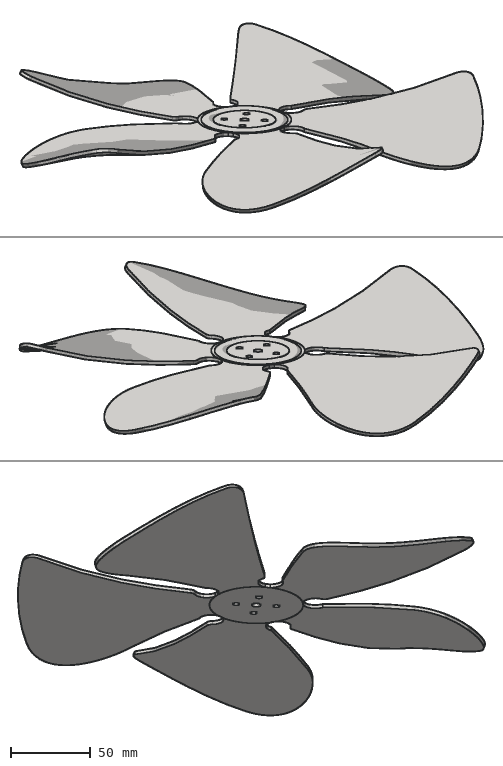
import cadquery as cq
import math


blade_count = 5
fan_radius = 149.6
sheet = 2.4
first_blade_azimuth = -18.0

hub_radius = 29.4
bead_radius = 23.4
bead_half_width = 3.8
bead_height = 1.7
bore_diameter = 5.5
bolt_hole_diameter = 4.0
bolt_spacing = 18.0

relief_radius = 7.8
relief_centre_radius = 37.0
relief_azimuth = 33.5

leading_angle = 11.7
leading_offset = 11.6
trailing_angle = -39.7
trailing_offset = 9.5
leading_tip_fillet = 10.0
trailing_tip_fillet = 40.0
leading_root_fillet = 4.0
root_allowance = 0.5

twist_axis_y = -12.0
twist_start = 21.0
tip_slope = 0.404
twist_points = 8
sheet_y_min = -80.0
sheet_y_max = 50.0

blade_pitch = 360.0 / blade_count
cutter_height = 4 * fan_radius * tip_slope
cutter_base = -cutter_height / 2


def polar(radius, azimuth):
    angle = math.radians(azimuth)
    return (radius * math.cos(angle), radius * math.sin(angle))


def edge_point_at_radius(slope_angle, offset, radius):
    """Point where an edge line of the blade meets a circle around the fan's axis."""
    slope = math.tan(math.radians(slope_angle))
    a = 1 + slope**2
    b = slope * offset
    c = offset**2 - radius**2
    x = (-b + math.sqrt(b**2 - a * c)) / a
    return (x, slope * x + offset)


def tall_cylinder(radius, centre=(0, 0)):
    base = cq.Workplane("XY").workplane(offset=cutter_base)
    return base.center(*centre).circle(radius).extrude(cutter_height)


leading_relief = polar(relief_centre_radius, relief_azimuth)
trailing_relief = polar(relief_centre_radius, relief_azimuth - blade_pitch)


def blade_outline():
    """Tall prism with the blade's outline, from the hub rim to the tip."""
    leading_root = edge_point_at_radius(leading_angle, leading_offset, relief_centre_radius)
    leading_tip = edge_point_at_radius(leading_angle, leading_offset, fan_radius)
    trailing_root = edge_point_at_radius(trailing_angle, trailing_offset, relief_centre_radius)
    trailing_tip = edge_point_at_radius(trailing_angle, trailing_offset, fan_radius)
    prism = (
        cq.Workplane("XY").workplane(offset=cutter_base)
        .moveTo(0, 0)
        .lineTo(*trailing_relief)
        .lineTo(*trailing_root)
        .lineTo(*trailing_tip)
        .threePointArc((fan_radius, 0), leading_tip)
        .lineTo(*leading_root)
        .lineTo(*leading_relief)
        .close()
        .extrude(cutter_height)
    )
    prism = prism.edges(cq.NearestToPointSelector((*leading_tip, 0))).fillet(leading_tip_fillet)
    prism = prism.edges(cq.NearestToPointSelector((*trailing_tip, 0))).fillet(trailing_tip_fillet)
    prism = prism.cut(tall_cylinder(hub_radius - root_allowance))
    prism = prism.cut(tall_cylinder(relief_radius, leading_relief))
    prism = prism.cut(tall_cylinder(relief_radius, trailing_relief))
    root_corner = edge_point_at_radius(
        leading_angle, leading_offset, relief_centre_radius + relief_radius
    )
    nearest_root_edge = cq.NearestToPointSelector((*root_corner, 0))
    return prism.edges("|Z").edges(nearest_root_edge).fillet(leading_root_fillet)


def bent_line(y):
    """Curve along the underside at a constant y, rising with the square of the reach."""
    step = (fan_radius - twist_start) / twist_points
    points = []
    for i in range(twist_points + 1):
        slope = tip_slope * (i / twist_points) ** 2
        points.append(cq.Vector(twist_start + i * step, y, slope * (y - twist_axis_y)))
    return cq.Edge.makeSpline(points)


def make_blade():
    """Twisted underside trimmed to the blade outline, thickened along its normals."""
    surface = cq.Face.makeRuledSurface(bent_line(sheet_y_min), bent_line(sheet_y_max))
    underside = surface.intersect(blade_outline().val()).Faces()[0]
    upward = underside.normalAt().z
    blade = cq.Workplane(underside.thicken(math.copysign(sheet, upward)))
    return blade.cut(tall_cylinder(hub_radius))


def make_hub():
    bead_inner = bead_radius - bead_half_width
    bead_outer = bead_radius + bead_half_width
    hub = (
        cq.Workplane("XZ")
        .moveTo(0, 0)
        .lineTo(hub_radius, 0)
        .lineTo(hub_radius, sheet)
        .lineTo(bead_outer, sheet)
        .threePointArc((bead_radius, sheet + bead_height), (bead_inner, sheet))
        .lineTo(0, sheet)
        .close()
        .revolve(360, (0, 0, 0), (0, 1, 0))
    )
    hub = hub.cut(tall_cylinder(bore_diameter / 2))
    for x_side in (-1, 1):
        for y_side in (-1, 1):
            centre = (x_side * bolt_spacing / 2, y_side * bolt_spacing / 2)
            hub = hub.cut(tall_cylinder(bolt_hole_diameter / 2, centre))
    for i in range(blade_count):
        azimuth = first_blade_azimuth + relief_azimuth + i * blade_pitch
        hub = hub.cut(tall_cylinder(relief_radius, polar(relief_centre_radius, azimuth)))
    return hub


blade = make_blade()
blades = [
    blade.rotate((0, 0, 0), (0, 0, 1), first_blade_azimuth + i * blade_pitch)
    for i in range(blade_count)
]
hub_with_blade = make_hub().union(blades[0])
loose_blades = blades[1:]

result = cq.Compound.makeCompound([hub_with_blade.val(), *[b.val() for b in loose_blades]])